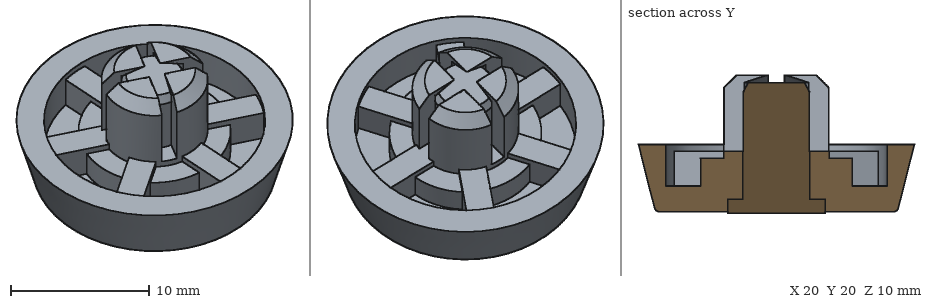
import cadquery as cq

rim_radius = 10.0
rim_height = 5.0
base_height = 0.1
base_radius = 8.75
base_rounding = 0.4
cup_radius = 8.0
floor_height = 2.0

pedestal_radius = 5.5
pedestal_height = 4.0
rib_count = 6
rib_width = 2.0
rib_height = 4.5

post_radius = 3.85
post_height = 10.0
post_chamfer = 0.9
slot_width = 1.15
bore_mouth_radius = 0.85

pin_radius = 2.4
pin_height = 9.45
pin_chamfer_width = 0.35
pin_chamfer_height = 0.65
head_radius = 3.52
head_thickness = 1.0


def cylinder(radius, bottom, top):
    return cq.Workplane("XY").workplane(offset=bottom).circle(radius).extrude(top - bottom)


def make_pin():
    """Headed pin with a chamfered upper end."""
    profile = [
        (0, 0),
        (head_radius, 0),
        (head_radius, head_thickness),
        (pin_radius, head_thickness),
        (pin_radius, pin_height - pin_chamfer_height),
        (pin_radius - pin_chamfer_width, pin_height),
        (0, pin_height),
    ]
    return cq.Workplane("XZ").polyline(profile).close().revolve(360, (0, 0, 0), (0, 1, 0))


def make_cup():
    """Tapered outer shell with a rounded lower edge and a flat floor."""
    profile = [(0, base_height), (base_radius, base_height), (rim_radius, rim_height), (0, rim_height)]
    shell = cq.Workplane("XZ").polyline(profile).close().revolve(360, (0, 0, 0), (0, 1, 0))
    shell = shell.faces("<Z").edges().fillet(base_rounding)
    return shell.cut(cylinder(cup_radius, floor_height, rim_height))


def make_ribs():
    """Radial ribs from the centre to the cup wall, the first along +Y."""
    ribs = cq.Workplane("XY")
    rib = (
        cq.Workplane("XY")
        .workplane(offset=floor_height)
        .center(0, cup_radius / 2)
        .rect(rib_width, cup_radius)
        .extrude(rib_height - floor_height)
    )
    rib = rib.intersect(cylinder(cup_radius, floor_height, rib_height))
    for index in range(rib_count):
        ribs = ribs.add(rib.rotate((0, 0, 0), (0, 0, 1), index * 360 / rib_count))
    return ribs.combine()


def cut_cross_slots(body):
    """Two crossing slots divide the post into quadrants down to the rib tops."""
    for length_x, length_y in [(2 * post_radius, slot_width), (slot_width, 2 * post_radius)]:
        slot = (
            cq.Workplane("XY")
            .workplane(offset=rib_height)
            .rect(length_x, length_y)
            .extrude(post_height - rib_height)
        )
        body = body.cut(slot)
    return body


def make_pin_cavity():
    """Head recess and straight bore, narrowing as a cone from the pin top to the post top."""
    profile = [
        (0, 0),
        (head_radius, 0),
        (head_radius, head_thickness),
        (pin_radius, head_thickness),
        (pin_radius, pin_height),
        (bore_mouth_radius, post_height),
        (0, post_height),
    ]
    return cq.Workplane("XZ").polyline(profile).close().revolve(360, (0, 0, 0), (0, 1, 0))


def make_foot():
    """Cup, pedestal, ribs and slotted post, with a cavity for the pin."""
    post = cylinder(post_radius, floor_height, post_height).faces(">Z").chamfer(post_chamfer)
    foot = make_cup().union(cylinder(pedestal_radius, floor_height, pedestal_height))
    foot = foot.union(make_ribs()).union(post)
    return cut_cross_slots(foot).cut(make_pin_cavity())


pin = make_pin()
foot = make_foot()

result = cq.Compound.makeCompound([foot.solids().val(), pin.val()])